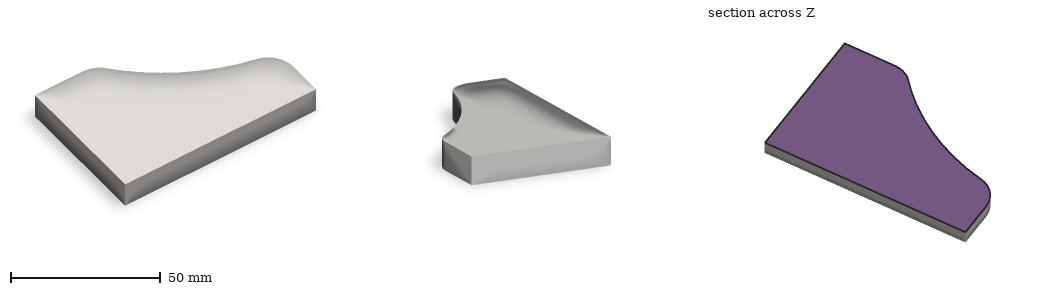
import cadquery as cq
import math

width = 52.0
length = 78.05
thickness = 10.0

corner_radius = 10.0
hollow_radius = 80.0
left_edge_length = 19.4
top_edge_length = 13.4
hollow_start_y = 26.0
hollow_end_y = 69.8

lower_center = (corner_radius, left_edge_length)
upper_center = (width - top_edge_length, length - corner_radius)


def corner_point(center, y):
    """Point at height y on the left half of a rounded corner."""
    rise = y - center[1]
    return (center[0] - math.sqrt(corner_radius**2 - rise**2), y)


def corner_middle(center, start, end):
    """Point on a rounded corner halfway between two of its points."""
    start_angle = math.atan2(start[1] - center[1], center[0] - start[0])
    end_angle = math.atan2(end[1] - center[1], center[0] - end[0])
    angle = (start_angle + end_angle) / 2
    return (
        center[0] - corner_radius * math.cos(angle),
        center[1] + corner_radius * math.sin(angle),
    )


lower_start = (0, left_edge_length)
hollow_start = corner_point(lower_center, hollow_start_y)
hollow_end = corner_point(upper_center, hollow_end_y)
upper_end = (upper_center[0], length)

chord_x = hollow_end[0] - hollow_start[0]
chord_y = hollow_end[1] - hollow_start[1]
chord = math.hypot(chord_x, chord_y)
hollow_depth = hollow_radius - math.sqrt(hollow_radius**2 - (chord / 2) ** 2)
hollow_middle = (
    (hollow_start[0] + hollow_end[0]) / 2 + hollow_depth * chord_y / chord,
    (hollow_start[1] + hollow_end[1]) / 2 - hollow_depth * chord_x / chord,
)

result = (
    cq.Workplane("XY")
    .moveTo(0, 0)
    .lineTo(*lower_start)
    .threePointArc(corner_middle(lower_center, lower_start, hollow_start), hollow_start)
    .threePointArc(hollow_middle, hollow_end)
    .threePointArc(corner_middle(upper_center, hollow_end, upper_end), upper_end)
    .lineTo(width, length)
    .lineTo(width, 0)
    .close()
    .extrude(thickness)
)